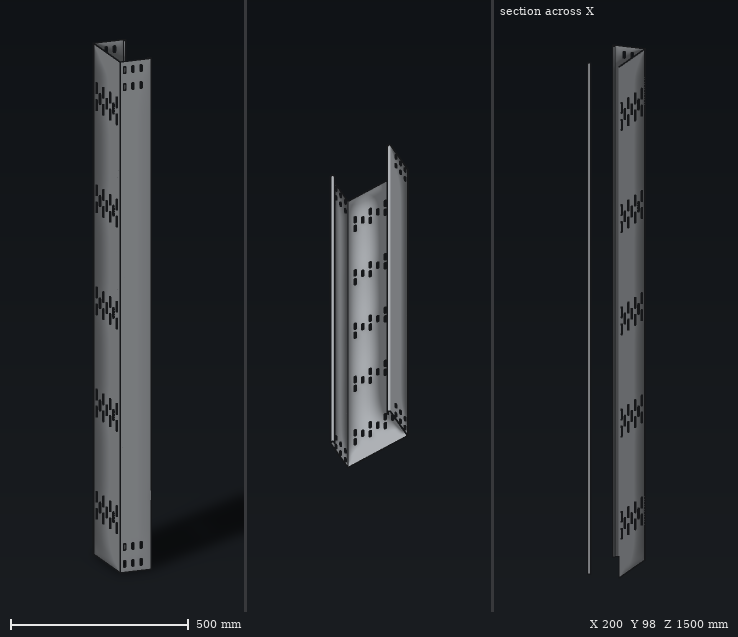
import cadquery as cq

LENGTH = 1500.0
WIDTH = 200.0
HEIGHT = 98.0
THICKNESS = 2.0

LIP_WIDTH = 12.0
BEND_RADIUS = 5.0
LIP_DEPTH = 9.0

GROUP_COUNT = 5
GROUP_PITCH = LENGTH / GROUP_COUNT
BASE_SLOT_PITCH = WIDTH / 4
BASE_SLOT_LENGTH = 32.0
SLOT_WIDTH = 7.0

FLANGE_SLOT_LENGTH = 20.0
FLANGE_COLUMN_PITCH = BASE_SLOT_PITCH / 2
FLANGE_FIRST_COLUMN = 15.0
END_ROW_PITCH = BASE_SLOT_PITCH
END_ROW_OFFSET = END_ROW_PITCH / 2


def flange(side):
    """Side wall with its inward lip; side is -1 for the -X wall and 1 for the +X wall."""
    outer = WIDTH / 2
    inner = outer - THICKNESS
    lip_outer = outer - LIP_WIDTH
    lip_inner = lip_outer + THICKNESS
    lip_end = HEIGHT - LIP_DEPTH
    bend_start = HEIGHT - BEND_RADIUS
    inner_top = HEIGHT - THICKNESS
    inner_radius = BEND_RADIUS - THICKNESS
    wall = (
        cq.Workplane("XY", origin=(0, 0, -LENGTH / 2))
        .moveTo(outer, 0)
        .lineTo(outer, bend_start)
        .radiusArc((outer - BEND_RADIUS, HEIGHT), -BEND_RADIUS)
        .lineTo(lip_outer + BEND_RADIUS, HEIGHT)
        .radiusArc((lip_outer, bend_start), -BEND_RADIUS)
        .lineTo(lip_outer, lip_end)
        .lineTo(lip_inner, lip_end)
        .lineTo(lip_inner, bend_start)
        .radiusArc((lip_outer + BEND_RADIUS, inner_top), inner_radius)
        .lineTo(outer - BEND_RADIUS, inner_top)
        .radiusArc((inner, bend_start), inner_radius)
        .lineTo(inner, 0)
        .close()
        .extrude(LENGTH)
    )
    return wall if side > 0 else wall.mirror("YZ")


def base():
    """Flat base plate joining the two flanges."""
    return cq.Workplane("XY").box(WIDTH, THICKNESS, LENGTH, centered=(True, False, True))


def base_slots():
    """Cutters for the slot groups: two rows of four slots, with three slots between the rows."""
    half_pitch = BASE_SLOT_PITCH / 2
    points = []
    for group in range(GROUP_COUNT):
        z = (group - (GROUP_COUNT - 1) / 2) * GROUP_PITCH
        for column in (-3, -1, 1, 3):
            points.append((column * half_pitch, z - half_pitch))
            points.append((column * half_pitch, z + half_pitch))
        for column in (-2, 0, 2):
            points.append((column * half_pitch, z))
    return (
        cq.Workplane("XZ", origin=(0, THICKNESS, 0))
        .pushPoints(points)
        .slot2D(BASE_SLOT_LENGTH, SLOT_WIDTH, 90)
        .extrude(THICKNESS)
    )


def flange_slots():
    """Cutters through both flanges: two rows of three slots near each end."""
    points = []
    for column in range(3):
        y = FLANGE_FIRST_COLUMN + column * FLANGE_COLUMN_PITCH
        for row in range(2):
            z = LENGTH / 2 - END_ROW_OFFSET - row * END_ROW_PITCH
            points.append((y, z))
            points.append((y, -z))
    return (
        cq.Workplane("YZ", origin=(-WIDTH / 2, 0, 0))
        .pushPoints(points)
        .slot2D(FLANGE_SLOT_LENGTH, SLOT_WIDTH, 90)
        .extrude(WIDTH)
    )


channel = base().union(flange(-1)).union(flange(1))
result = channel.cut(base_slots()).cut(flange_slots())